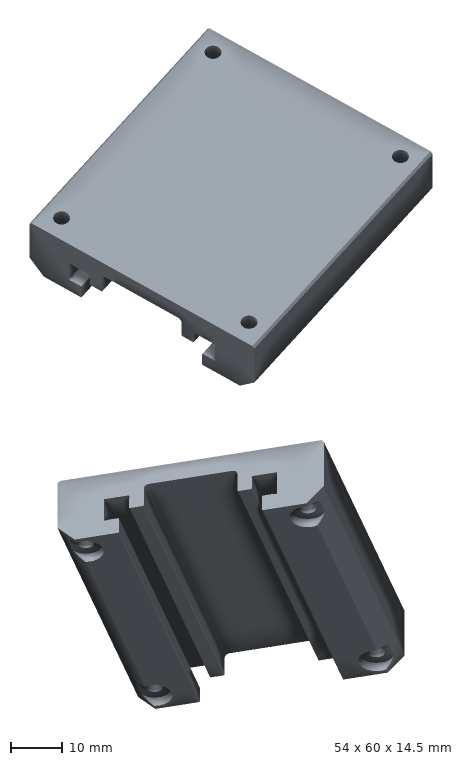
import cadquery as cq

WIDTH = 54.0
LENGTH = 60.0
HEIGHT = 14.5
TOP_CHAMFER = 0.5
BOTTOM_CHAMFER = 3.5

RECESS_WIDTH = 18.95
ROOF_THICKNESS = 4.0
ROOF_FILLET = 0.95

CHANNEL_SPACING = 30.0
CHANNEL_HEIGHT = 6.0
CHANNEL_SIDE = 5.05
LIP_OVERHANG = 0.55
LIP_FILLET = 0.25

GROOVE_RADIUS = 0.3
GROOVE_DEPTH = 0.1

HOLE_SPACING_X = 45.0
HOLE_SPACING_Y = 51.0
HOLE_DIAMETER = 3.3
HEAD_DIAMETER = 7.1
HEAD_DEPTH = 2.0

ROOF_Z = HEIGHT - ROOF_THICKNESS
CHANNEL_X = CHANNEL_SPACING / 2
OPENING_X = CHANNEL_X - LIP_OVERHANG
OPENING_TOP = CHANNEL_HEIGHT - LIP_OVERHANG
BORE_INNER_X = CHANNEL_X - CHANNEL_SIDE / 2
BORE_OUTER_X = CHANNEL_X + CHANNEL_SIDE / 2
BORE_BOTTOM = CHANNEL_HEIGHT - CHANNEL_SIDE / 2
BORE_TOP = CHANNEL_HEIGHT + CHANNEL_SIDE / 2


def bar_from_floor(width, height):
    """Full-length bar centred on X and Y and standing on the bottom plane."""
    return cq.Workplane("XY").box(width, LENGTH, height, centered=(True, True, False))


def profile_plane():
    """Plane at mid-length whose sketches run along the part."""
    return cq.Workplane("XZ")


def chamfered_block():
    block = bar_from_floor(WIDTH, HEIGHT)
    block = block.edges("|Y and >Z").chamfer(TOP_CHAMFER)
    return block.edges("|Y and <Z").chamfer(BOTTOM_CHAMFER)


def central_recess():
    """Deep recess with a rounded roof, plus the wider opening between the lower lips."""
    recess = bar_from_floor(RECESS_WIDTH, ROOF_Z).edges("|Y and >Z").fillet(ROOF_FILLET)
    return recess.union(bar_from_floor(2 * OPENING_X, OPENING_TOP))


def rail_bores():
    centres = [(side * CHANNEL_X, CHANNEL_HEIGHT) for side in (-1, 1)]
    bores = profile_plane().pushPoints(centres).rect(CHANNEL_SIDE, CHANNEL_SIDE)
    return bores.extrude(LENGTH / 2, both=True)


def round_lip_edges(body):
    """Round both edges at the free end of every lip."""
    lip_edges = [
        (OPENING_X, BORE_BOTTOM),
        (OPENING_X, 0),
        (BORE_INNER_X, OPENING_TOP),
        (RECESS_WIDTH / 2, OPENING_TOP),
    ]
    for side in (-1, 1):
        for x, z in lip_edges:
            edge = cq.selectors.NearestToPointSelector((side * x, 0, z))
            body = body.edges("|Y").edges(edge).fillet(LIP_FILLET)
    return body


def lip_grooves():
    """Grooves along the roots of the lower and upper lips."""
    offset = GROOVE_RADIUS - GROOVE_DEPTH
    lower = (BORE_OUTER_X - GROOVE_RADIUS, BORE_BOTTOM + offset)
    upper = (BORE_INNER_X + offset, BORE_TOP - GROOVE_RADIUS)
    centres = [(side * x, z) for side in (-1, 1) for x, z in (lower, upper)]
    return profile_plane().pushPoints(centres).circle(GROOVE_RADIUS).extrude(LENGTH / 2, both=True)


def screw_holes():
    holes = cq.Workplane("XY").rect(HOLE_SPACING_X, HOLE_SPACING_Y, forConstruction=True).vertices()
    shanks = holes.circle(HOLE_DIAMETER / 2).extrude(HEIGHT)
    heads = holes.circle(HEAD_DIAMETER / 2).extrude(HEAD_DEPTH)
    return shanks.union(heads)


body = chamfered_block().cut(central_recess()).cut(rail_bores())
body = round_lip_edges(body)
result = body.cut(lip_grooves()).cut(screw_holes())